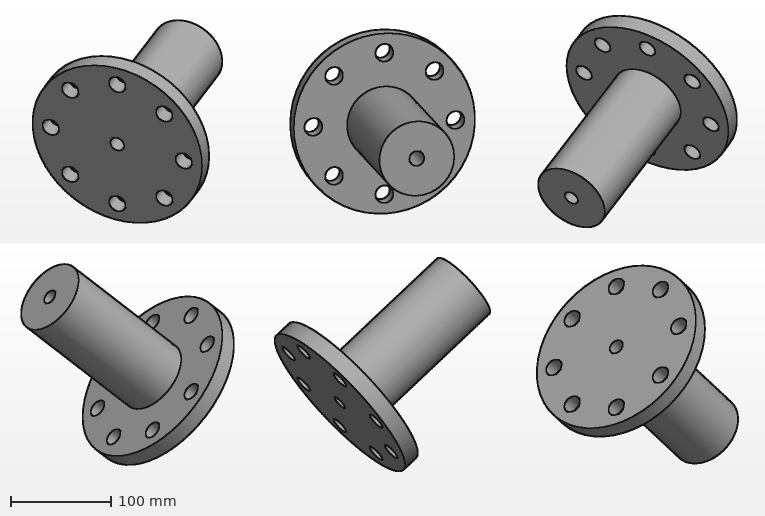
import cadquery as cq

flange_diameter = 185.0
flange_thickness = 18.0
overall_length = 174.0
shaft_diameter = 76.2
bore_diameter = 15.0
bolt_hole_diameter = 18.0
bolt_circle_diameter = 145.0
bolt_hole_count = 8

shaft_length = overall_length - flange_thickness


def cylinder_along_y(diameter, start, length):
    """Solid cylinder on the Y axis, running towards +Y from the given start."""
    plane = cq.Workplane("XZ", origin=(0, start, 0))
    return plane.circle(diameter / 2).extrude(-length)


def bolt_holes():
    """Cutters for the evenly spaced holes through the flange."""
    return (
        cq.Workplane("XZ")
        .polarArray(bolt_circle_diameter / 2, 0, 360, bolt_hole_count)
        .circle(bolt_hole_diameter / 2)
        .extrude(-flange_thickness)
    )


flange = cylinder_along_y(flange_diameter, 0, flange_thickness)
shaft = cylinder_along_y(shaft_diameter, flange_thickness, shaft_length)
bore = cylinder_along_y(bore_diameter, 0, overall_length)

result = flange.union(shaft).cut(bore).cut(bolt_holes())